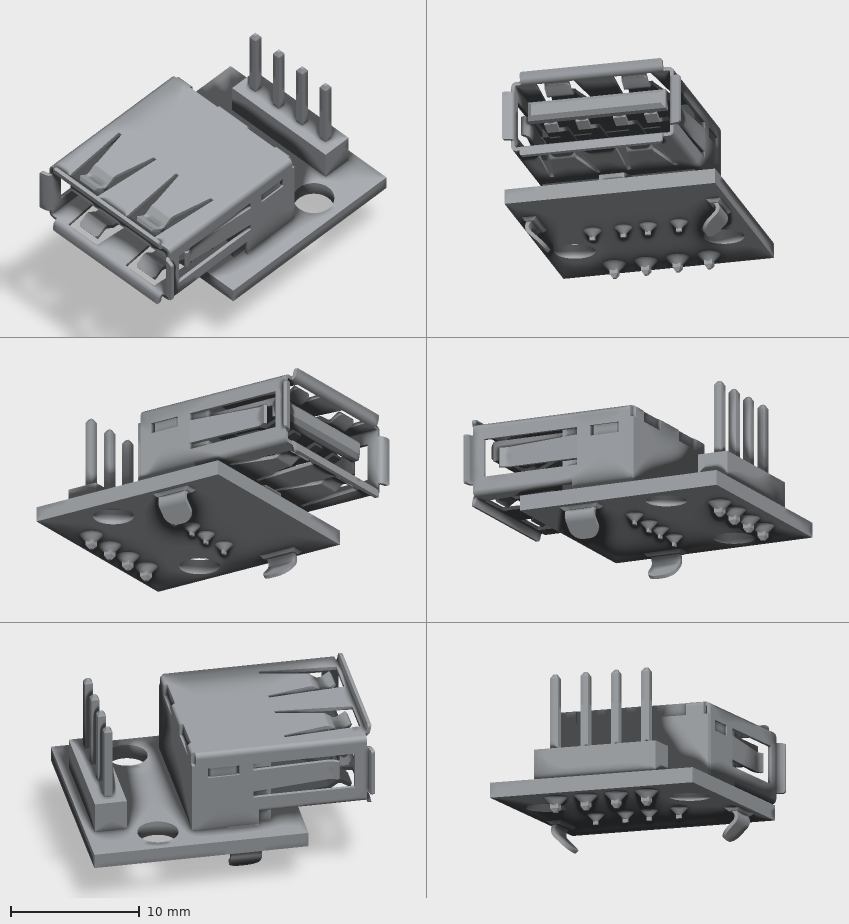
import cadquery as cq
import math

EPS = 0.11

board_side = 17.0
board_thick = 1.2
mount_hole_dia = 3.2
mount_hole_x = 6.02
mount_hole_y = 11.45

pitch = 2.55
pin_count = 4
header_y = 15.0
header_height = 2.5
pin_width = 0.65
pin_tip_width = 0.25
pin_tip_height = 0.32
pin_top = 8.57
pin_bottom = -2.37

header_solder_radius = 0.92
header_solder_tip = 0.27
header_solder_height = 0.68
contact_solder_radius = 0.7
contact_solder_tip = 0.18
contact_solder_height = 0.55
leg_solder_x = 7.45
leg_solder_width = 1.15
leg_solder_length = 3.2
leg_solder_height = 0.25
leg_solder_taper = 40

sheet = 0.3
shell_half = 6.56
shell_front = -5.03
shell_back = 8.85
shell_top = 6.85
shell_bottom = 1.13
shell_bend = 0.4
seat = 0.14

shell_mid = (shell_top + shell_bottom) / 2
wall_inner = shell_half - sheet
cavity_top = shell_top - sheet
plate_front = shell_back - sheet

skirt_front = 3.56
window_back = 3.97
window_front = -4.05
window_top = 5.55
window_bottom = 2.53
slot_back = 7.58
slot_front = 5.1
slot_bottom = 4.71
barb_inset = 0.27
barb_x = 6.43

plate_half = 6.5
plate_step_z = 5.86
plate_upper_half = 6.09
relief_half = 1.5
fold_radius = 0.9 * sheet

lip_bend = 0.11
lip_angle = math.radians(78)
lip_straight = 0.59
lip_height = lip_bend * (1 - math.cos(lip_angle)) + lip_straight * math.sin(lip_angle)
flat_lip_half = 5.75
side_lip_half = 1.98
lip_corner = 0.27

spring_x = 3.11
spring_root_y = 1.22
spring_neck_y = -2.16
spring_tip_y = -4.37
opening_front_y = -4.87
opening_back_half = 2.05
opening_front_half = 1.55
spring_root_half = 1.74
spring_tip_half = 1.01
spring_corner = 0.23
spring_bend = 0.34
side_spring_bend = 0.68

insulator_half = 6.13
insulator_front = 2.5
recess_bottom = 3.07
recess_top = 4.98
nose_front = 0.5
nose_front_top = 0.63
foot_half = 5.15
nose_half = 1.01
nose_foot_front = 0.56
tongue_half = 5.55
tongue_front = -4.08
tongue_bottom = 4.95
tongue_tip_back = -3.1
tongue_tip_bottom = 4.0
tongue_bevel = 0.34

contact_width = 1.0
contact_xs = (-4.04, -1.5, 1.5, 4.04)
tail_xs = (-3.5, -1.0, 1.0, 3.5)
tail_y = 7.49
tail_width = 0.4
tail_thick = 0.2
tail_bottom = -2.0

leg_back = 6.05
leg_width = leg_back - skirt_front
leg_corner = 1.0
leg_bend = 0.45


def block(x0, x1, y0, y1, z0, z1):
    """Axis-aligned box between the given limits."""
    return cq.Workplane("XY").box(x1 - x0, y1 - y0, z1 - z0, centered=False).translate((x0, y0, z0))


def both_sides(solid):
    """The solid joined with its mirror image across X = 0."""
    return solid.union(solid.mirror("YZ"))


def strip_outline(path, thickness):
    """Closed outline of a bent strip of sheet whose centre line is the given path."""
    def normal(a, b):
        length = math.dist(a, b)
        return ((a[1] - b[1]) / length, (b[0] - a[0]) / length)

    normals = [normal(a, b) for a, b in zip(path, path[1:])]
    before = [normals[0]] + normals
    after = normals + [normals[-1]]
    left, right = [], []
    for (u, v), n, m in zip(path, before, after):
        mitre = thickness / 2 / (1 + n[0] * m[0] + n[1] * m[1])
        du = mitre * (n[0] + m[0])
        dv = mitre * (n[1] + m[1])
        left.append((u + du, v + dv))
        right.append((u - du, v - dv))
    return left + right[::-1]


def near_bend(x, y, z):
    """Selector for the edges of a bend in the sheet centred on the given point."""
    return cq.selectors.BoxSelector(
        (x - sheet, y - sheet, z - sheet), (x + sheet, y + sheet, z + sheet)
    )


def header_pin(x):
    """Square pin through header and board, pointed at both ends."""
    shank = block(
        x - pin_width / 2, x + pin_width / 2,
        header_y - pin_width / 2, header_y + pin_width / 2,
        pin_bottom + pin_tip_height, pin_top - pin_tip_height,
    )

    def tip(face):
        return (
            shank.faces(face).workplane(centerOption="CenterOfMass").rect(pin_width, pin_width)
            .workplane(offset=pin_tip_height).rect(pin_tip_width, pin_tip_width).loft(combine=False)
        )

    return shank.union(tip(">Z")).union(tip("<Z"))


def solder_cone(x, y, base_radius, tip_radius, height):
    """Solder fillet tapering downward from the board's underside."""
    cone = cq.Solid.makeCone(
        base_radius, tip_radius, height, pnt=cq.Vector(x, y, -board_thick), dir=cq.Vector(0, 0, -1)
    )
    return cq.Workplane(cone)


def leg_solder():
    """Flat solder pad round one shell leg."""
    return (
        cq.Workplane("XY", origin=(-leg_solder_x, skirt_front + leg_width / 2, -board_thick))
        .rect(leg_solder_width, leg_solder_length)
        .extrude(-leg_solder_height, taper=leg_solder_taper)
    )


def make_board():
    """Board with its mounting holes, pin header and solder joints."""
    half = board_side / 2
    board = block(-half, half, 0, board_side, -board_thick, 0)
    holes = (
        cq.Workplane("XY").pushPoints([(-mount_hole_x, mount_hole_y), (mount_hole_x, mount_hole_y)])
        .circle(mount_hole_dia / 2).extrude(-board_thick)
    )
    board = board.cut(holes)

    header_half = pin_count * pitch / 2
    board = board.union(
        block(-header_half, header_half, header_y - pitch / 2, header_y + pitch / 2, 0, header_height)
    )
    for i in range(pin_count):
        x = (i - (pin_count - 1) / 2) * pitch
        board = board.union(header_pin(x))
        board = board.union(
            solder_cone(x, header_y, header_solder_radius, header_solder_tip, header_solder_height)
        )
    for x in tail_xs:
        board = board.union(
            solder_cone(x, tail_y, contact_solder_radius, contact_solder_tip, contact_solder_height)
        )
    return board.union(both_sides(leg_solder()))


def shell_tube():
    """Rounded rectangular sleeve with the skirt walls that stand on the board."""
    tube = block(-shell_half, shell_half, shell_front, plate_front, shell_bottom, shell_top)
    tube = tube.edges("|Y").fillet(shell_bend)
    cavity = block(
        -wall_inner, wall_inner, shell_front, plate_front, shell_bottom + sheet, cavity_top
    ).edges("|Y").fillet(shell_bend - sheet)
    skirt = block(-shell_half, -wall_inner, skirt_front, plate_front, seat, shell_mid)
    return tube.cut(cavity).union(both_sides(skirt))


def side_openings():
    """Spring window and barb slot through the left wall."""
    window = block(
        -shell_half, -wall_inner, window_front, window_back, window_bottom, window_top
    )
    slot = block(-shell_half, -wall_inner, slot_front, slot_back, slot_bottom, window_top)
    return window.union(slot)


def back_plate():
    """Rear cover folded down from the top, with two reliefs in the fold."""
    plate = block(-plate_half, plate_half, plate_front, shell_back, seat, plate_step_z)
    fold = block(
        -plate_upper_half, plate_upper_half, plate_front, shell_back, plate_step_z, shell_top
    ).edges(">Y and >Z").fillet(fold_radius)
    for x in (-spring_x, spring_x):
        fold = fold.cut(
            block(x - relief_half, x + relief_half, plate_front, shell_back, plate_step_z, shell_top)
        )
    return plate.union(fold)


def lip(half_length):
    """Flared lip in local axes: X along the lip, Y forward from the mouth, Z outward from the skin."""
    def arc_point(radius, angle):
        return (radius * math.sin(angle), lip_bend - radius * math.cos(angle))

    def straight_end(point):
        return (
            point[0] + lip_straight * math.cos(lip_angle),
            point[1] + lip_straight * math.sin(lip_angle),
        )

    outer = lip_bend + sheet
    inner_end = arc_point(lip_bend, lip_angle)
    outer_end = arc_point(outer, lip_angle)
    flare = (
        cq.Workplane("YZ").moveTo(-EPS, -sheet).lineTo(0, -sheet)
        .threePointArc(arc_point(outer, lip_angle / 2), outer_end)
        .lineTo(*straight_end(outer_end))
        .lineTo(*straight_end(inner_end))
        .lineTo(*inner_end)
        .threePointArc(arc_point(lip_bend, lip_angle / 2), (0, 0))
        .lineTo(-EPS, 0).close()
        .extrude(half_length, both=True)
    )
    outline = (
        block(-half_length, half_length, -EPS, 2 * outer, -sheet, lip_height)
        .edges("|Y and >Z").fillet(lip_corner)
    )
    return flare.intersect(outline)


def mouth_lips():
    """The four lips, each turned outward from its wall of the mouth."""
    height = shell_top - shell_mid
    lips = cq.Workplane("XY")
    placements = (
        (0, flat_lip_half, height),
        (90, side_lip_half, shell_half),
        (180, flat_lip_half, height),
        (270, side_lip_half, shell_half),
    )
    for turn, half_length, skin in placements:
        lips = lips.add(
            lip(half_length).mirror("XZ").translate((0, shell_front, skin))
            .rotate((0, 0, 0), (0, 1, 0), turn).translate((0, 0, shell_mid))
        )
    return lips


def spring_opening(x):
    """Tapered opening in the top sheet round one spring."""
    return (
        cq.Workplane("XY", origin=(x, 0, cavity_top)).polyline([
            (-opening_back_half, spring_root_y), (opening_back_half, spring_root_y),
            (opening_front_half, opening_front_y), (-opening_front_half, opening_front_y),
        ]).close().extrude(sheet)
    )


def top_spring(x):
    """Spring finger bent down into the mouth from the top sheet."""
    root_z = shell_top - sheet / 2
    path = [
        (spring_root_y + EPS, root_z), (-2.45, root_z), (-3.31, root_z - 0.59), (-4.28, root_z + 0.02),
    ]
    profile = (
        cq.Workplane("YZ", origin=(x, 0, 0)).polyline(strip_outline(path, sheet)).close()
        .extrude(spring_root_half, both=True)
    )
    for y, z in path[1:-1]:
        profile = profile.edges(near_bend(x, y, z)).fillet(spring_bend)
    right_edge = [
        (spring_root_half, spring_root_y + EPS), (spring_root_half, spring_root_y),
        (spring_tip_half, spring_neck_y), (spring_tip_half, spring_tip_y + spring_corner),
        (spring_tip_half - spring_corner, spring_tip_y),
    ]
    left_edge = [(-u, v) for u, v in reversed(right_edge)]
    plan = (
        cq.Workplane("XY", origin=(x, 0, shell_mid)).polyline(right_edge + left_edge).close()
        .extrude(shell_top)
    )
    return profile.intersect(plan)


def side_spring():
    """Spring finger bent inward from the rear edge of the left window."""
    wall = -shell_half + sheet / 2
    path = [
        (wall, window_back + EPS), (wall, window_back), (wall + 0.5, -2.32), (wall + 0.18, -2.9),
    ]
    profile = (
        cq.Workplane("XY").polyline(strip_outline(path, sheet)).close().extrude(shell_top)
    )
    bend_x, bend_y = path[2]
    profile = profile.edges(near_bend(bend_x, bend_y, shell_top / 2)).fillet(side_spring_bend)
    height = (
        cq.Workplane("YZ").polyline([
            (window_back + EPS, tongue_bottom), (window_back + EPS, recess_bottom),
            (-3.15, 3.25), (-3.15, 4.78),
        ]).close().extrude(-shell_half)
    )
    return profile.intersect(height)


def shell_leg():
    """Solder leg that splays outward through the board and hooks back under it."""
    wall = -shell_half + sheet / 2
    path = [(wall, shell_bottom), (wall, seat / 2), (-7.9, -1.92), (-6.35, -3.43)]
    leg = (
        cq.Workplane("XZ", origin=(0, skirt_front, 0)).polyline(strip_outline(path, sheet)).close()
        .extrude(-leg_width)
    )
    leg = leg.edges("|Y").edges("<X").fillet(leg_bend + sheet)
    inner_bend = cq.selectors.NearestToPointSelector((-7.45, skirt_front + leg_width / 2, -1.92))
    leg = leg.edges("|Y").edges(inner_bend).fillet(leg_bend)
    tip = cq.selectors.BoxSelector((-6.76, 0, -4.05), (-5.86, board_side, -3.15))
    return leg.edges(tip).edges("not |Y").fillet(leg_corner)


def make_shell():
    """Sheet metal shell with its openings, springs, lips and legs."""
    shell = shell_tube().cut(both_sides(side_openings())).union(back_plate())
    for x in (-spring_x, spring_x):
        for finish in (lambda s: s, lambda s: s.mirror("XY", (0, 0, shell_mid))):
            shell = shell.cut(finish(spring_opening(x))).union(finish(top_spring(x)))
    for flare in mouth_lips().vals():
        shell = shell.union(cq.Workplane(flare))
    return shell.union(both_sides(side_spring())).union(both_sides(shell_leg()))


def insulator_block():
    """Block filling the rear of the shell and its foot on the board, recessed behind the springs."""
    body = block(
        -insulator_half, insulator_half, insulator_front, plate_front, seat, cavity_top
    )
    recess = block(
        -insulator_half, insulator_half, insulator_front, window_back, recess_bottom, recess_top
    )
    foot = block(-foot_half, foot_half, insulator_front, plate_front, 0, seat)
    return body.cut(recess).union(foot)


def nose():
    """Central rib under the shell floor, sloping down to the front, with its own foot."""
    rib = (
        cq.Workplane("YZ").polyline([
            (insulator_front, seat), (nose_front, seat), (nose_front, nose_front_top),
            (insulator_front, shell_bottom),
        ]).close().extrude(nose_half, both=True)
    )
    return rib.union(block(-nose_half, nose_half, nose_foot_front, insulator_front, 0, seat))


def barb():
    """Latch on the insulator's left side that sits in the slot of the shell wall."""
    return (
        cq.Workplane("XY", origin=(0, 0, slot_bottom)).polyline([
            (-insulator_half, slot_back), (-barb_x, slot_back - barb_inset),
            (-barb_x, slot_front + barb_inset), (-insulator_half, slot_front),
        ]).close().extrude(window_top - slot_bottom)
    )


def tongue():
    """Contact carrier with a deeper, bevelled tip."""
    plate = block(
        -tongue_half, tongue_half, tongue_tip_back, insulator_front + EPS, tongue_bottom, window_top
    )
    plate = plate.union(
        block(-tongue_half, tongue_half, insulator_front, window_back, recess_top - EPS, window_top)
    )
    tip = block(
        -tongue_half, tongue_half, tongue_front, tongue_tip_back, tongue_tip_bottom, window_top
    ).faces("<Y").chamfer(tongue_bevel)
    return plate.union(tip)


def contact(x):
    """Bent contact strip under the tongue."""
    path = [(window_back + EPS, 4.83), (0.68, 4.83), (-1.8, 3.79), (-2.7, 4.1)]
    return (
        cq.Workplane("YZ", origin=(x, 0, 0)).polyline(strip_outline(path, sheet)).close()
        .extrude(contact_width / 2, both=True)
    )


def contact_tail(x):
    """Flat solder tail through the board."""
    return block(
        x - tail_width / 2, x + tail_width / 2,
        tail_y - tail_thick / 2, tail_y + tail_thick / 2, tail_bottom, seat,
    )


def make_connector():
    """USB socket: shell, insulator and contacts as one body."""
    connector = make_shell().union(insulator_block()).union(nose())
    connector = connector.union(both_sides(barb())).union(tongue())
    for x in contact_xs:
        connector = connector.union(contact(x))
    for x in tail_xs:
        connector = connector.union(contact_tail(x))
    return connector


usb_connector = make_connector()
header_board = make_board().cut(usb_connector)

result = cq.Compound.makeCompound([header_board.val(), usb_connector.val()])